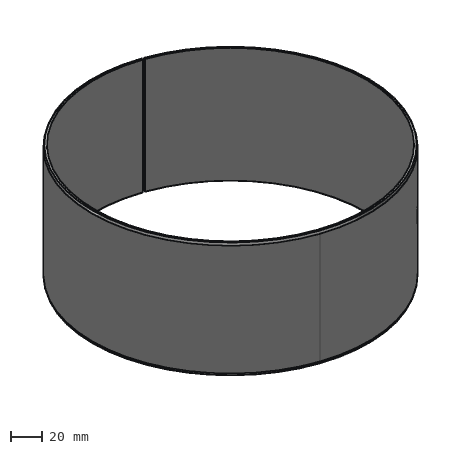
import cadquery as cq
outer_diameter = 240.0
height = 100.0
wall = 2.5
rim_bevel_width = 0.7
rim_bevel_height = 2.0
split_width = 2.0
hole_diameter = 10.0
hole_angle = 59.0

outer_radius = outer_diameter / 2
inner_radius = outer_radius - wall
half_height = height / 2


def make_band():
    """Thin ring whose outer edges are bevelled at both rims."""
    outer_rim_radius = outer_radius - rim_bevel_width
    bevel_z = half_height - rim_bevel_height
    section = (
        cq.Workplane("XZ")
        .moveTo(inner_radius, -half_height)
        .lineTo(outer_rim_radius, -half_height)
        .lineTo(outer_radius, -bevel_z)
        .lineTo(outer_radius, bevel_z)
        .lineTo(outer_rim_radius, half_height)
        .lineTo(inner_radius, half_height)
        .close()
    )
    return section.revolve(360, (0, 0, 0), (0, 1, 0))


def make_split():
    """Cutter for the narrow full-height gap on the -X side."""
    return cq.Workplane("XY").box(2 * wall, split_width, height).translate((-inner_radius, split_width / 2, 0))


def make_hole():
    """Cutter for the radial hole at mid height."""
    return (
        cq.Workplane("YZ")
        .circle(hole_diameter / 2)
        .extrude(outer_diameter)
        .rotate((0, 0, 0), (0, 0, 1), hole_angle)
    )


result = make_band().cut(make_split()).cut(make_hole())